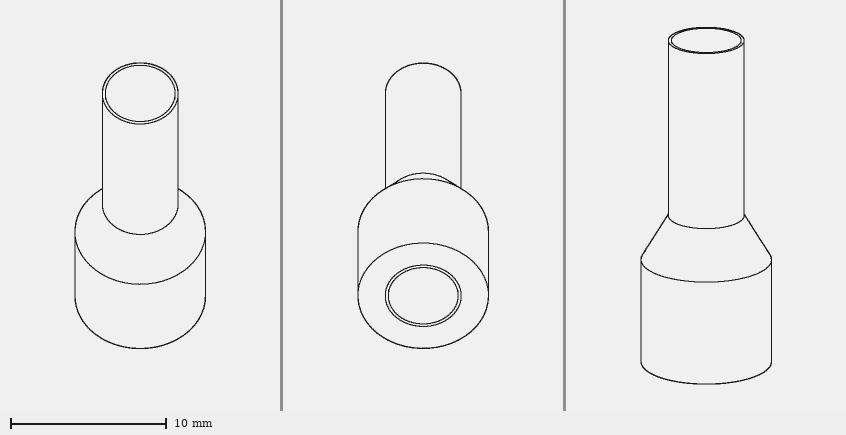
import cadquery as cq

total_height = 22.0
collar_diameter = 8.4
tube_diameter = 4.88
tube_wall = 0.2

skirt_height = 7.0
collar_height = 10.0

collar_radius = collar_diameter / 2
tube_radius = tube_diameter / 2
bore_radius = tube_radius - tube_wall


def make_tube():
    """Thin metal tube, open at both ends, running the full height."""
    return cq.Workplane("XY").circle(tube_radius).circle(bore_radius).extrude(total_height)


def make_collar():
    """Insulating collar around the tube: a cylindrical skirt that tapers to the tube."""
    half_section = (
        cq.Workplane("XZ")
        .moveTo(tube_radius, 0)
        .lineTo(collar_radius, 0)
        .lineTo(collar_radius, skirt_height)
        .lineTo(tube_radius, collar_height)
        .close()
    )
    return half_section.revolve(360, (0, 0, 0), (0, 1, 0))


tube = make_tube()
collar = make_collar()

result = cq.Compound.makeCompound([tube.val(), collar.val()])